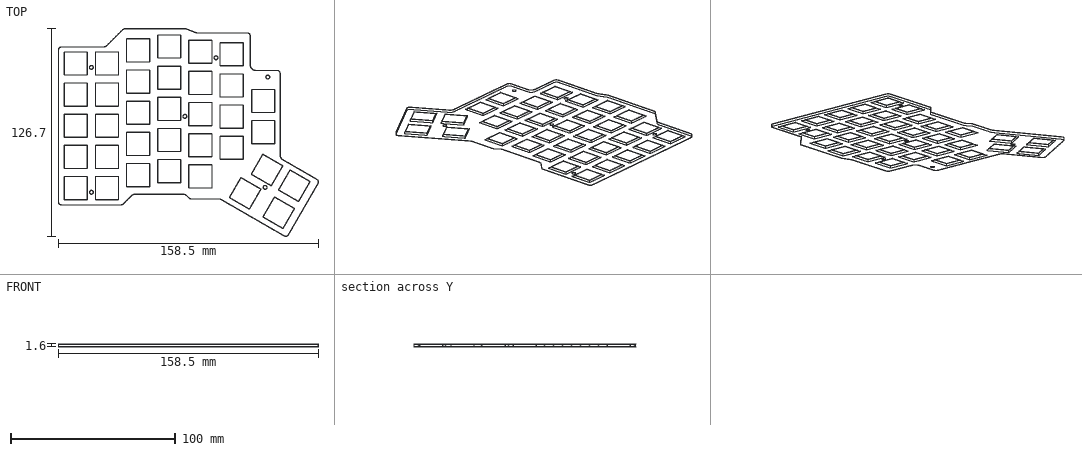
import cadquery as cq
import math

overall_length = 158.5
thickness = 1.6
six_column_span = 95.0
key_pitch = six_column_span / 5
key_opening = 14.0
screw_hole_diameter = 2.2
corner_radius = 1.9
inner_corner_radius = 3.2

first_column_x = 10.6
full_column_keys = 5
columns = [
    (29.6, full_column_keys),
    (29.6, full_column_keys),
    (37.5, full_column_keys),
    (40.0, full_column_keys),
    (36.8, full_column_keys),
    (54.2, 4),
    (63.7, 2),
]
last_column_extra_gap = 0.3

thumb_tilt = math.radians(-30)
thumb_origin_x = 143.8
thumb_origin_y = 31.0
thumb_upper_spacing = 19.2
thumb_lower_spacing = 23.6
thumb_margin_top = 10.3
thumb_margin_bottom = 10.6

lower_left_y = 19.3
upper_left_y = 115.7
upper_middle_y = 126.8
upper_right_y = 124.3
shoulder_y = 101.5
lower_middle_y = 25.8
lower_right_y = 23.0
inner_right_x = 117.0
outer_right_x = 135.2

upper_left_step_x = 28.7
upper_right_step_start_x = 77.7
upper_right_step_end_x = 84.2
lower_left_step_x = 39.0
lower_right_step_x = 77.4


def thumb_point(across, up):
    """Plate coordinates of a point given along the tilted thumb axes."""
    x = thumb_origin_x + across * math.cos(thumb_tilt) - up * math.sin(thumb_tilt)
    y = thumb_origin_y + across * math.sin(thumb_tilt) + up * math.cos(thumb_tilt)
    return x, y


def column_x(index):
    """Centre X of a straight key column."""
    return first_column_x + index * key_pitch


corner_centre_x = overall_length - corner_radius
corner_centre_up = thumb_margin_top - corner_radius
corner_offset_x = corner_centre_x - thumb_origin_x + corner_centre_up * math.sin(thumb_tilt)
thumb_margin_right = corner_offset_x / math.cos(thumb_tilt) + corner_radius

thumb_bottom = -key_pitch - thumb_margin_bottom
thumb_top_right = thumb_point(thumb_margin_right, thumb_margin_top)
thumb_bottom_right = thumb_point(thumb_margin_right, thumb_bottom)

thumb_slope = math.tan(thumb_tilt)
thumb_top_start_y = thumb_top_right[1] + (outer_right_x - thumb_top_right[0]) * thumb_slope
thumb_bottom_end_x = thumb_bottom_right[0] + (lower_right_y - thumb_bottom_right[1]) / thumb_slope

upper_left_step_end_x = upper_left_step_x + upper_middle_y - upper_left_y
lower_left_step_end_x = lower_left_step_x + lower_middle_y - lower_left_y
lower_right_step_end_x = lower_right_step_x + lower_middle_y - lower_right_y

outline = [
    (0, lower_left_y, corner_radius),
    (0, upper_left_y, corner_radius),
    (upper_left_step_x, upper_left_y, inner_corner_radius),
    (upper_left_step_end_x, upper_middle_y, corner_radius),
    (upper_right_step_start_x, upper_middle_y, corner_radius),
    (upper_right_step_end_x, upper_right_y, inner_corner_radius),
    (inner_right_x, upper_right_y, corner_radius),
    (inner_right_x, shoulder_y, inner_corner_radius),
    (outer_right_x, shoulder_y, corner_radius),
    (outer_right_x, thumb_top_start_y, inner_corner_radius),
    (*thumb_top_right, corner_radius),
    (*thumb_bottom_right, corner_radius),
    (thumb_bottom_end_x, lower_right_y, inner_corner_radius),
    (lower_right_step_end_x, lower_right_y, corner_radius),
    (lower_right_step_x, lower_middle_y, inner_corner_radius),
    (lower_left_step_end_x, lower_middle_y, inner_corner_radius),
    (lower_left_step_x, lower_left_y, corner_radius),
]
corner_points = [(x, y) for x, y, _ in outline]
plate = cq.Workplane("XY").polyline(corner_points).close().extrude(thickness)
for x, y, radius in outline:
    corner_edge = cq.selectors.NearestToPointSelector((x, y, thickness / 2))
    plate = plate.edges(corner_edge).fillet(radius)

column_keys = []
for index, (lowest_y, key_count) in enumerate(columns):
    is_last = index == len(columns) - 1
    x = column_x(index) + (last_column_extra_gap if is_last else 0)
    for row in range(key_count):
        column_keys.append((x, lowest_y + row * key_pitch))

column_openings = (
    cq.Workplane("XY")
    .pushPoints(column_keys)
    .rect(key_opening, key_opening)
    .extrude(thickness)
)

thumb_keys = [
    (0, 0),
    (-thumb_upper_spacing, 0),
    (0, -key_pitch),
    (-thumb_lower_spacing, -key_pitch),
]
thumb_openings = (
    cq.Workplane("XY")
    .pushPoints(thumb_keys)
    .rect(key_opening, key_opening)
    .extrude(thickness)
    .rotate((0, 0, 0), (0, 0, 1), math.degrees(thumb_tilt))
    .translate((thumb_origin_x, thumb_origin_y, 0))
)

half_pitch = key_pitch / 2
screw_points = [
    (column_x(0) + half_pitch, 27.1),
    (column_x(0) + half_pitch, 103.2),
    (column_x(3) + half_pitch, 73.4),
    (column_x(4) + half_pitch, 109.0),
    (127.6, 97.3),
    (126.0, 30.1),
]
screw_holes = (
    cq.Workplane("XY")
    .pushPoints(screw_points)
    .circle(screw_hole_diameter / 2)
    .extrude(thickness)
)

result = plate.cut(column_openings).cut(thumb_openings).cut(screw_holes)